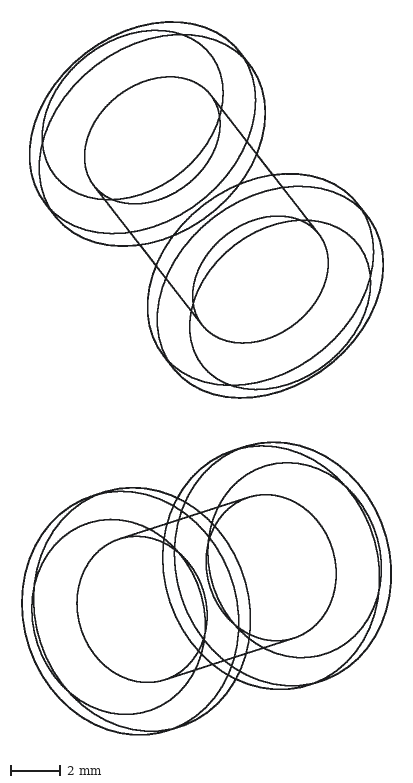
import cadquery as cq

length = 15.0
head_diameter = length * 2 / 3
shaft_diameter = head_diameter * 0.6
head_thickness = head_diameter / 5
chamfer = head_thickness / 2


def make_head(inner_x, direction):
    """Disc head growing outward along X, with its outer rim chamfered."""
    outer_face = ">X" if direction > 0 else "<X"
    return (
        cq.Workplane("YZ", origin=(inner_x, 0, 0))
        .circle(head_diameter / 2)
        .extrude(direction * head_thickness)
        .faces(outer_face)
        .edges()
        .chamfer(chamfer)
    )


shaft_length = length - 2 * head_thickness
result = (
    cq.Workplane("YZ", origin=(-shaft_length / 2, 0, 0))
    .circle(shaft_diameter / 2)
    .extrude(shaft_length)
)

for side in (-1, 1):
    result = result.union(make_head(side * shaft_length / 2, side))